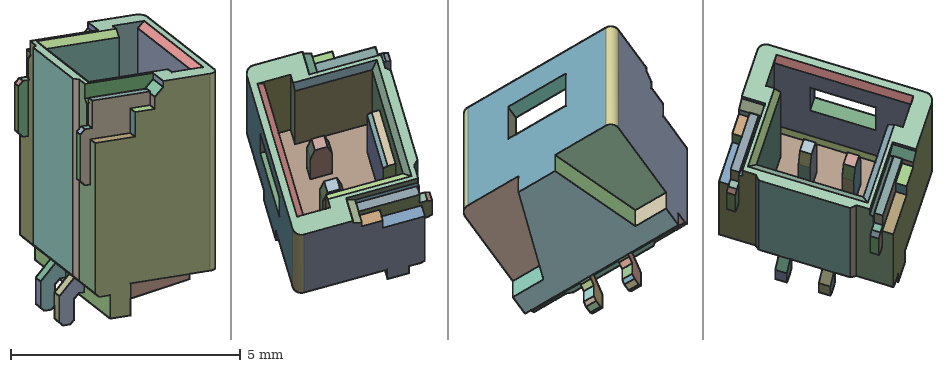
import cadquery as cq
import math


WIDTH = 4.0
HALF_WIDTH = WIDTH / 2
DEPTH = 3.19
HEIGHT = 5.35
BACK_CORNER_RADIUS = 0.2

FLANGE_Y = 0.24
PANEL_Y = 0.135
PANEL_HALF_WIDTH = 1.05
PANEL_STEP = FLANGE_Y - PANEL_Y
FOOT_Y = 0.6
FOOT_STEP_Z = 0.55
FRONT_CHAMFER = 0.2

UNDERCUT_Y = 1.09
UNDERCUT_Z = 0.75
CORE_HALF_WIDTH = 1.2
CORE_TAPER_ANGLE = 19.0

FLOOR_Z = 1.0
CAVITY_HALF_WIDTH = 1.225
CAVITY_FRONT_Y = 0.515
LIP = 0.15
SLOT_HALF_WIDTH = 1.57
SLOT_FRONT_Y = 2.267
SLOT_BACK_Y = 2.87
FLOOR_CHAMFER = 0.11

WINDOW_SIZE = 1.5
WINDOW_TOP_Z = 4.28

RIB_WIDTH = 1.27
RIB_BACK_Y = 0.8
RIB_CHAMFER = 0.105
RIB_TOP_Z = 4.0

PITCH = 1.0
CONTACT_COUNT = 2
CONTACT_WIDTH = 0.267
POST_FRONT_Y = 1.67
POST_BACK_Y = 2.165
POST_TOP_Z = 3.2
POST_TIP_INSET = 0.105
POST_TIP_ANGLE = 80.0
TAIL_DROP = 0.55
TAIL_THICKNESS = 0.35
TAIL_SHELF_Y = 0.38
TAIL_BEND_Z = 0.15
TAIL_KNEE = 0.12
TAIL_TIP_CHAMFER = 0.09

NAIL_INNER_X = 1.545
NAIL_THICKNESS = 0.2
NAIL_OUTER_X = NAIL_INNER_X + NAIL_THICKNESS
NAIL_BACK_Y = 1.67
NAIL_FRONT_Y = 0.285
NAIL_TOP_Z = 5.05
NAIL_TAB_TOP_Z = 4.41
NAIL_TAB_BOTTOM_Z = 3.1
NAIL_CHAMFER = 0.11

NOTCH_INNER_X = 1.461
NOTCH_BACK_Y = 1.87
NOTCH_SLOPE = NOTCH_BACK_Y - NAIL_BACK_Y
NOTCH_SHOULDER_Z = 5.01
NOTCH_STEP_Y = 1.195
NOTCH_STEP_Z = 4.73
NOTCH_BOTTOM_Z = 4.155

SIDES = (-1, 1)


def block(x_range, y_range, z_range):
    """Box spanning the given coordinate ranges."""
    low = [min(r) for r in (x_range, y_range, z_range)]
    size = [max(r) - min(r) for r in (x_range, y_range, z_range)]
    return cq.Workplane("XY").box(*size, centered=False).translate(tuple(low))


def side_profile(points, x_range):
    """Prism with a (Y, Z) outline spanning the given X range."""
    start = min(x_range)
    length = max(x_range) - start
    return cq.Workplane("YZ").workplane(offset=start).polyline(points).close().extrude(length)


def make_shell():
    """Solid housing with its front panel, foot and rounded back corners."""
    shell = block((-HALF_WIDTH, HALF_WIDTH), (FLANGE_Y, DEPTH), (0, HEIGHT))
    shell = shell.edges("|Z and >Y").fillet(BACK_CORNER_RADIUS)
    panel_base = PANEL_HALF_WIDTH + PANEL_STEP
    panel = (
        cq.Workplane("XY")
        .polyline([
            (-panel_base, FLANGE_Y),
            (-PANEL_HALF_WIDTH, PANEL_Y),
            (PANEL_HALF_WIDTH, PANEL_Y),
            (panel_base, FLANGE_Y),
        ])
        .close()
        .extrude(HEIGHT)
    )
    below_front = side_profile(
        [
            (0, 0),
            (0, FOOT_STEP_Z + FRONT_CHAMFER),
            (PANEL_Y, FOOT_STEP_Z + FRONT_CHAMFER),
            (PANEL_Y + FRONT_CHAMFER, FOOT_STEP_Z),
            (FOOT_Y, FOOT_STEP_Z),
            (FOOT_Y, 0),
        ],
        (-HALF_WIDTH, HALF_WIDTH),
    )
    return shell.union(panel).cut(below_front)


def make_undercut(side):
    """Recess below one side wall, bounded by the tapering core."""
    back_half_width = CORE_HALF_WIDTH - (DEPTH - UNDERCUT_Y) * math.tan(math.radians(CORE_TAPER_ANGLE))
    outline = [
        (side * HALF_WIDTH, UNDERCUT_Y),
        (side * CORE_HALF_WIDTH, UNDERCUT_Y),
        (side * back_half_width, DEPTH),
        (side * HALF_WIDTH, DEPTH),
    ]
    return cq.Workplane("XY").polyline(outline).close().extrude(UNDERCUT_Z)


def make_cavity():
    """Mating cavity: a main well and a wider latch slot behind it, both with chamfered mouths."""
    well_length = SLOT_FRONT_Y - CAVITY_FRONT_Y
    well = block(
        (-CAVITY_HALF_WIDTH, CAVITY_HALF_WIDTH), (CAVITY_FRONT_Y, SLOT_FRONT_Y), (FLOOR_Z, HEIGHT)
    )
    lip = (
        cq.Workplane("XY")
        .workplane(offset=HEIGHT)
        .rect(2 * (CAVITY_HALF_WIDTH + LIP), 2 * (well_length + LIP))
        .workplane(offset=-LIP)
        .rect(2 * CAVITY_HALF_WIDTH, 2 * well_length)
        .loft(ruled=True)
        .translate((0, SLOT_FRONT_Y, 0))
        .intersect(block((-HALF_WIDTH, HALF_WIDTH), (0, SLOT_FRONT_Y), (0, HEIGHT)))
    )
    slot = side_profile(
        [
            (SLOT_FRONT_Y, FLOOR_Z),
            (SLOT_BACK_Y - FLOOR_CHAMFER, FLOOR_Z),
            (SLOT_BACK_Y, FLOOR_Z + FLOOR_CHAMFER),
            (SLOT_BACK_Y, HEIGHT - LIP),
            (SLOT_BACK_Y + LIP, HEIGHT),
            (SLOT_FRONT_Y, HEIGHT),
        ],
        (-SLOT_HALF_WIDTH, SLOT_HALF_WIDTH),
    )
    return well.union(lip).union(slot)


def make_window():
    """Square latch window through the back wall."""
    half = WINDOW_SIZE / 2
    return block((-half, half), (SLOT_FRONT_Y, DEPTH), (WINDOW_TOP_Z - WINDOW_SIZE, WINDOW_TOP_Z))


def make_rib():
    """Polarising rib with a chamfered top edge."""
    half = RIB_WIDTH / 2
    outline = [
        (CAVITY_FRONT_Y, FLOOR_Z),
        (RIB_BACK_Y, FLOOR_Z),
        (RIB_BACK_Y, RIB_TOP_Z - RIB_CHAMFER),
        (RIB_BACK_Y - RIB_CHAMFER, RIB_TOP_Z),
        (CAVITY_FRONT_Y, RIB_TOP_Z),
    ]
    return side_profile(outline, (-half, half))


def make_notch(side):
    """Stepped notch in one side wall, with a sloped ledge beside the nail."""
    shoulder_outline = [
        (0, HEIGHT),
        (NOTCH_BACK_Y, HEIGHT),
        (NOTCH_BACK_Y, NOTCH_SHOULDER_Z + NOTCH_SLOPE),
        (NAIL_BACK_Y, NOTCH_SHOULDER_Z),
        (0, NOTCH_SHOULDER_Z),
    ]
    shoulder = side_profile(shoulder_outline, (side * NOTCH_INNER_X, side * HALF_WIDTH))
    step_outline = [
        (0, NOTCH_SHOULDER_Z),
        (NAIL_BACK_Y, NOTCH_SHOULDER_Z),
        (NAIL_BACK_Y, NOTCH_STEP_Z),
        (NOTCH_STEP_Y, NOTCH_STEP_Z),
        (NOTCH_STEP_Y, NOTCH_BOTTOM_Z),
        (0, NOTCH_BOTTOM_Z),
    ]
    steps = side_profile(step_outline, (side * NAIL_INNER_X, side * HALF_WIDTH))
    ledge_width = NAIL_INNER_X - NOTCH_INNER_X
    ledge = (
        cq.Workplane("XZ")
        .polyline([
            (side * NOTCH_INNER_X, NOTCH_SHOULDER_Z),
            (side * NAIL_INNER_X, NOTCH_SHOULDER_Z),
            (side * NAIL_INNER_X, NOTCH_SHOULDER_Z - ledge_width),
        ])
        .close()
        .extrude(-NAIL_BACK_Y)
    )
    return shoulder.union(steps).union(ledge)


def make_nail(side):
    """Fitting nail whose front tab reaches the board plane."""
    outline = [
        (NAIL_BACK_Y, NAIL_TOP_Z),
        (NAIL_FRONT_Y, NAIL_TOP_Z),
        (NAIL_FRONT_Y, NAIL_TAB_TOP_Z),
        (NAIL_CHAMFER, NAIL_TAB_TOP_Z),
        (0, NAIL_TAB_TOP_Z - NAIL_CHAMFER),
        (0, NAIL_TAB_BOTTOM_Z + NAIL_CHAMFER),
        (NAIL_CHAMFER, NAIL_TAB_BOTTOM_Z),
        (NAIL_BACK_Y, NAIL_TAB_BOTTOM_Z),
    ]
    return side_profile(outline, (side * NAIL_INNER_X, side * NAIL_OUTER_X))


def make_contact(x):
    """Contact post inside the cavity and the bent solder tail outside it."""
    x_range = (x - CONTACT_WIDTH / 2, x + CONTACT_WIDTH / 2)
    tip_start_z = POST_TOP_Z - POST_TIP_INSET * math.tan(math.radians(POST_TIP_ANGLE))
    post = side_profile(
        [
            (POST_FRONT_Y, FLOOR_Z),
            (POST_FRONT_Y, tip_start_z),
            (POST_FRONT_Y + POST_TIP_INSET, POST_TOP_Z),
            (POST_BACK_Y - POST_TIP_INSET, POST_TOP_Z),
            (POST_BACK_Y, tip_start_z),
            (POST_BACK_Y, FLOOR_Z),
        ],
        x_range,
    )
    tail = side_profile(
        [
            (FOOT_Y, FOOT_STEP_Z),
            (TAIL_SHELF_Y, FOOT_STEP_Z),
            (0, TAIL_BEND_Z),
            (0, TAIL_TIP_CHAMFER - TAIL_DROP),
            (TAIL_TIP_CHAMFER, -TAIL_DROP),
            (TAIL_THICKNESS - TAIL_TIP_CHAMFER, -TAIL_DROP),
            (TAIL_THICKNESS, TAIL_TIP_CHAMFER - TAIL_DROP),
            (TAIL_THICKNESS, TAIL_BEND_Z - TAIL_KNEE),
            (TAIL_THICKNESS + TAIL_KNEE, TAIL_BEND_Z),
            (FOOT_Y, TAIL_BEND_Z),
        ],
        x_range,
    )
    return post.union(tail)


result = make_shell().cut(make_cavity()).cut(make_window()).union(make_rib())
for side in SIDES:
    result = result.cut(make_undercut(side)).cut(make_notch(side)).union(make_nail(side))
for index in range(CONTACT_COUNT):
    contact_x = (index - (CONTACT_COUNT - 1) / 2) * PITCH
    result = result.union(make_contact(contact_x))